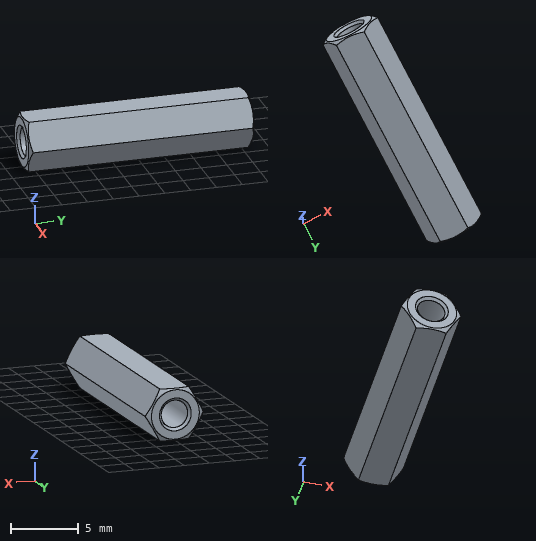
import cadquery as cq
import math

length = 17.5
across_flats = 4.0
across_corners = across_flats / math.cos(math.radians(30))

end_face_diameter = 3.8
end_chamfer_angle = 30.0
corner_clearance = 0.18

hole_diameter = 2.1
hole_depth = 6.0
mouth_diameter = 2.52
mouth_angle = 45.0
drill_tip_angle = 118.0


def revolve_about_y(profile):
    """Revolve an (x, y) profile fully around the Y axis."""
    return cq.Workplane("XY").polyline(profile).close().revolve(360, (0, 0, 0), (0, 1, 0))


def hexagonal_bar():
    return cq.Workplane("XZ").polygon(6, across_corners).extrude(length / 2, both=True)


def chamfer_envelope():
    """Round bar with conical ends, to be intersected with the hexagon."""
    outer_radius = across_corners / 2 + corner_clearance
    face_radius = end_face_diameter / 2
    half = length / 2
    shoulder = half - (outer_radius - face_radius) * math.tan(math.radians(end_chamfer_angle))
    return revolve_about_y([
        (0, -half),
        (face_radius, -half),
        (outer_radius, -shoulder),
        (outer_radius, shoulder),
        (face_radius, half),
        (0, half),
    ])


def blind_hole():
    """Cutting body for the hole in the -Y end."""
    hole_radius = hole_diameter / 2
    mouth_radius = mouth_diameter / 2
    end_face = -length / 2
    mouth_depth = (mouth_radius - hole_radius) / math.tan(math.radians(mouth_angle))
    tip_length = hole_radius / math.tan(math.radians(drill_tip_angle / 2))
    return revolve_about_y([
        (0, end_face),
        (mouth_radius, end_face),
        (hole_radius, end_face + mouth_depth),
        (hole_radius, end_face + hole_depth),
        (0, end_face + hole_depth + tip_length),
    ])


hole = blind_hole()
result = hexagonal_bar().intersect(chamfer_envelope()).cut(hole).cut(hole.mirror("XZ"))